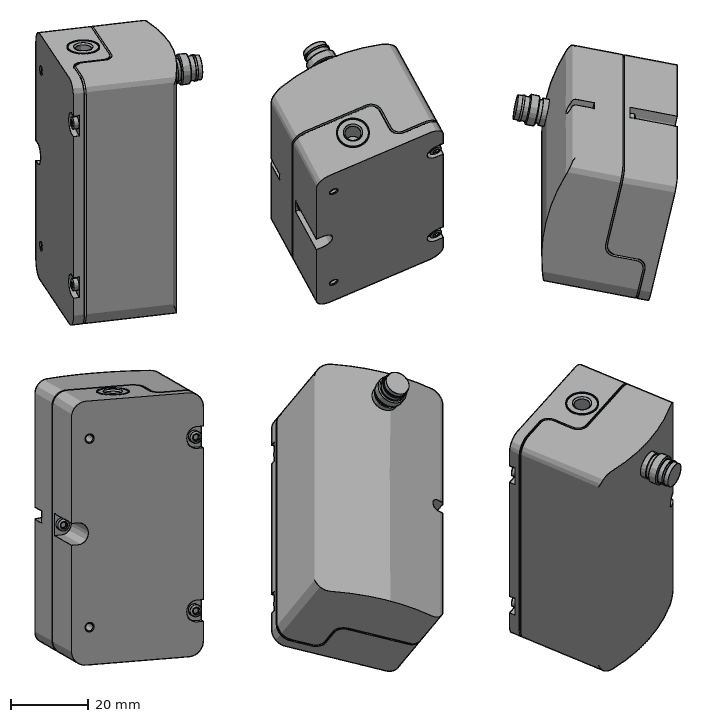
import cadquery as cq
import math

WIDTH = 36.5
HEIGHT = 70.0
DEPTH = 30.9
CORNER_RADIUS = 4.0
CROWN_RADIUS = 50.0
CROWN_EDGE_RADIUS = 1.0
HALF_WIDTH = WIDTH / 2
HALF_HEIGHT = HEIGHT / 2

SEAM_LEFT_Y = 13.95
SEAM_RIGHT_Y = 2.95
SEAM_STEP_X = 5.5
SEAM_UPPER_BEND_RADIUS = 2.5
SEAM_LOWER_BEND_RADIUS = 2.75
SEAM_BEVEL = 0.5

SCREW_EDGE_DISTANCE = 2.0
SIDE_SCREW_Z = 23.0
LEFT_RECESS_DEPTH = 12.5
RIGHT_RECESS_DEPTH = 1.6
SCREW_PLACES = [
    (-1, 0.0, LEFT_RECESS_DEPTH),
    (1, SIDE_SCREW_Z, RIGHT_RECESS_DEPTH),
    (1, -SIDE_SCREW_Z, RIGHT_RECESS_DEPTH),
]
RECESS_EDGE_DISTANCE = 1.75
RECESS_DIAMETER = 5.8
SCREW_HEAD_DIAMETER = 3.2
SCREW_HEAD_HEIGHT = 1.6
SCREW_CROWN_HEIGHT = 0.3
SOCKET_MOUTH_DIAMETER = 2.01
SOCKET_ACROSS_FLATS = 1.5
SOCKET_DEPTH = 0.8

NOTCH_WIDTH = 3.2
NOTCH_FLOOR_Y = 22.0

MOUNT_X = -13.25
MOUNT_Z = 25.0
MOUNT_DIAMETER = 2.01
MOUNT_MOUTH_DIAMETER = 2.5
MOUNT_DEPTH = 5.0

INSERT_X = -3.55
INSERT_Y = 8.7
INSERT_POCKET_DIAMETER = 8.5
INSERT_DIAMETER = 8.0
INSERT_GAP_DEPTH = 0.25
INSERT_MOUTH_DIAMETER = 5.0
INSERT_BORE_DIAMETER = 4.13
INSERT_BORE_DEPTH = 6.0

PLUG_Z = 27.0
PLUG_LENGTH = 8.0
PLUG_ROOT = 2.0
PLUG_TIP_DIAMETER = 6.5
PLUG_LIP_DIAMETER = 6.9
PLUG_COLLAR_DIAMETER = 8.0
PLUG_COLLAR_RIM_DIAMETER = 7.2
PLUG_NECK_DIAMETER = 5.8
PLUG_BASE_DIAMETER = 7.2
LIP_START = 1.2
LIP_END = 1.75
COLLAR_START = 3.1
COLLAR_END = 5.65
COLLAR_BEVEL = 0.25
BASE_START = 6.6


def crown_y(x):
    """Height of the crowned back at the given X."""
    return DEPTH - CROWN_RADIUS + math.sqrt(CROWN_RADIUS**2 - x**2)


def make_housing():
    shoulder_y = crown_y(HALF_WIDTH)
    crowned = (
        cq.Workplane("XY", origin=(0, 0, -HALF_HEIGHT))
        .moveTo(-HALF_WIDTH, 0)
        .lineTo(HALF_WIDTH, 0)
        .lineTo(HALF_WIDTH, shoulder_y)
        .threePointArc((0, DEPTH), (-HALF_WIDTH, shoulder_y))
        .close()
        .extrude(HEIGHT)
    )
    crowned = crowned.faces("<X or >X").edges("|Z and (not <Y)").fillet(CROWN_EDGE_RADIUS)
    outline = (
        cq.Workplane("XZ")
        .rect(WIDTH, HEIGHT)
        .extrude(-DEPTH)
        .edges("|Y")
        .fillet(CORNER_RADIUS)
    )
    return crowned.intersect(outline)


def make_cover_space():
    """Everything in front of the stepped parting line."""
    return (
        cq.Workplane("XY", origin=(0, 0, -HALF_HEIGHT))
        .moveTo(-HALF_WIDTH, 0)
        .lineTo(-HALF_WIDTH, SEAM_LEFT_Y)
        .lineTo(SEAM_STEP_X - SEAM_UPPER_BEND_RADIUS, SEAM_LEFT_Y)
        .tangentArcPoint((SEAM_STEP_X, SEAM_LEFT_Y - SEAM_UPPER_BEND_RADIUS), relative=False)
        .lineTo(SEAM_STEP_X, SEAM_RIGHT_Y + SEAM_LOWER_BEND_RADIUS)
        .tangentArcPoint((SEAM_STEP_X + SEAM_LOWER_BEND_RADIUS, SEAM_RIGHT_Y), relative=False)
        .lineTo(HALF_WIDTH, SEAM_RIGHT_Y)
        .lineTo(HALF_WIDTH, 0)
        .close()
        .extrude(HEIGHT)
    )


def add_seam(housing):
    """Bevel the shell along the parting line; the bevel follows the tangent edge loop."""
    cover_space = make_cover_space()
    cover = housing.intersect(cover_space)
    shell = housing.cut(cover_space)
    loop_start = cq.selectors.NearestToPointSelector((-HALF_WIDTH, SEAM_LEFT_Y, 0))
    return cover.union(shell.edges("|Z").edges(loop_start).chamfer(SEAM_BEVEL))


def edge_slot(side, z, y_start, length, width, edge_distance):
    """Round-ended slot along Y, open to the left (-1) or right (+1) side."""
    centre_x = side * (HALF_WIDTH - edge_distance)
    open_part = (
        cq.Workplane("XZ", origin=(centre_x + side * edge_distance / 2, y_start, z))
        .rect(edge_distance, width)
        .extrude(-length)
    )
    round_end = (
        cq.Workplane("XZ", origin=(centre_x, y_start, z))
        .circle(width / 2)
        .extrude(-length)
    )
    return open_part.union(round_end)


def make_screw_head(side, z, floor_y):
    """Low conical head with a bevelled hexagon socket."""
    x = side * (HALF_WIDTH - SCREW_EDGE_DISTANCE)
    top_y = floor_y - SCREW_HEAD_HEIGHT
    head_radius = SCREW_HEAD_DIAMETER / 2
    mouth_radius = SOCKET_MOUTH_DIAMETER / 2
    flat_radius = SOCKET_ACROSS_FLATS / 2
    corner_diameter = SOCKET_ACROSS_FLATS / math.cos(math.pi / 6)
    head = (
        cq.Workplane("XY", origin=(x, top_y, z))
        .polyline([
            (0, mouth_radius - flat_radius),
            (flat_radius, mouth_radius - flat_radius),
            (mouth_radius, 0),
            (head_radius, SCREW_CROWN_HEIGHT),
            (head_radius, SCREW_HEAD_HEIGHT),
            (0, SCREW_HEAD_HEIGHT),
        ])
        .close()
        .revolve(360, (0, 0), (0, 1))
    )
    socket = (
        cq.Workplane("XZ", origin=(x, top_y, z))
        .transformed(rotate=(0, 0, 90))
        .polygon(6, corner_diameter)
        .extrude(-SOCKET_DEPTH)
    )
    return head.cut(socket)


def bevelled_bore(workplane, direction, mouth_diameter, bore_diameter, depth):
    """Blind bore with a 45 degree mouth, running up (1) or down (-1) the workplane's local Y."""
    mouth_radius = mouth_diameter / 2
    bore_radius = bore_diameter / 2
    bevel = mouth_radius - bore_radius
    return (
        workplane
        .polyline([
            (0, 0),
            (mouth_radius, 0),
            (bore_radius, direction * bevel),
            (bore_radius, direction * depth),
            (0, direction * depth),
        ])
        .close()
        .revolve(360, (0, 0), (0, 1))
    )


def make_mount_hole(z):
    mouth_plane = cq.Workplane("XY", origin=(MOUNT_X, 0, z))
    return bevelled_bore(mouth_plane, 1, MOUNT_MOUTH_DIAMETER, MOUNT_DIAMETER, MOUNT_DEPTH)


def make_insert_cut():
    """Gap around the insert together with its bevelled bore."""
    centre = (INSERT_X, INSERT_Y, HALF_HEIGHT)
    gap = (
        cq.Workplane("XY", origin=centre)
        .circle(INSERT_POCKET_DIAMETER / 2)
        .circle(INSERT_DIAMETER / 2)
        .extrude(-INSERT_GAP_DEPTH)
    )
    axis_plane = cq.Workplane("XZ", origin=centre)
    bore = bevelled_bore(axis_plane, -1, INSERT_MOUTH_DIAMETER, INSERT_BORE_DIAMETER, INSERT_BORE_DEPTH)
    return gap.union(bore)


def make_plug():
    """Turned connector: tip, lip, bevelled collar, conical neck and base."""
    stations = [
        (PLUG_TIP_DIAMETER, 0),
        (PLUG_TIP_DIAMETER, LIP_START),
        (PLUG_LIP_DIAMETER, LIP_START),
        (PLUG_LIP_DIAMETER, LIP_END),
        (PLUG_TIP_DIAMETER, LIP_END),
        (PLUG_TIP_DIAMETER, COLLAR_START),
        (PLUG_COLLAR_RIM_DIAMETER, COLLAR_START),
        (PLUG_COLLAR_DIAMETER, COLLAR_START + COLLAR_BEVEL),
        (PLUG_COLLAR_DIAMETER, COLLAR_END - COLLAR_BEVEL),
        (PLUG_COLLAR_RIM_DIAMETER, COLLAR_END),
        (PLUG_NECK_DIAMETER, COLLAR_END),
        (PLUG_TIP_DIAMETER, BASE_START),
        (PLUG_BASE_DIAMETER, BASE_START),
        (PLUG_BASE_DIAMETER, PLUG_LENGTH + PLUG_ROOT),
    ]
    half_profile = [(diameter / 2, -station) for diameter, station in stations]
    return (
        cq.Workplane("XY", origin=(0, DEPTH + PLUG_LENGTH, PLUG_Z))
        .moveTo(0, 0)
        .polyline(half_profile, includeCurrent=True)
        .lineTo(0, -PLUG_LENGTH - PLUG_ROOT)
        .close()
        .revolve(360, (0, 0), (0, 1))
    )


result = add_seam(make_housing())

for side, z, recess_depth in SCREW_PLACES:
    recess = edge_slot(side, z, 0, recess_depth, RECESS_DIAMETER, RECESS_EDGE_DISTANCE)
    result = result.cut(recess)
    result = result.union(make_screw_head(side, z, recess_depth))

notch_length = DEPTH - NOTCH_FLOOR_Y
notch = edge_slot(-1, 0, NOTCH_FLOOR_Y, notch_length, NOTCH_WIDTH, SCREW_EDGE_DISTANCE)
result = result.cut(notch)

for z in (MOUNT_Z, -MOUNT_Z):
    result = result.cut(make_mount_hole(z))

result = result.cut(make_insert_cut()).union(make_plug())